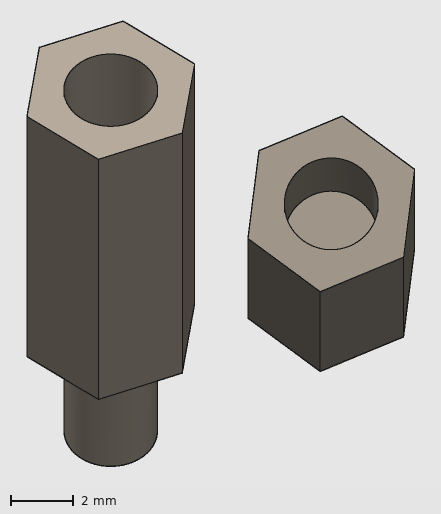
import cadquery as cq
import math

total_length = 17.0
stud_length = 5.0
across_flats = 5.0
thread_diameter = 3.0

body_length = total_length - stud_length
across_corners = across_flats / math.cos(math.radians(30))
socket_depth = stud_length

body = (
    cq.Workplane("XY")
    .workplane(offset=stud_length)
    .transformed(rotate=(0, 0, 90))
    .polygon(6, across_corners)
    .extrude(body_length)
)

stud = cq.Workplane("XY").circle(thread_diameter / 2).extrude(stud_length)

socket = (
    cq.Workplane("XY")
    .workplane(offset=total_length - socket_depth)
    .circle(thread_diameter / 2)
    .extrude(socket_depth)
)

result = body.union(stud).cut(socket)